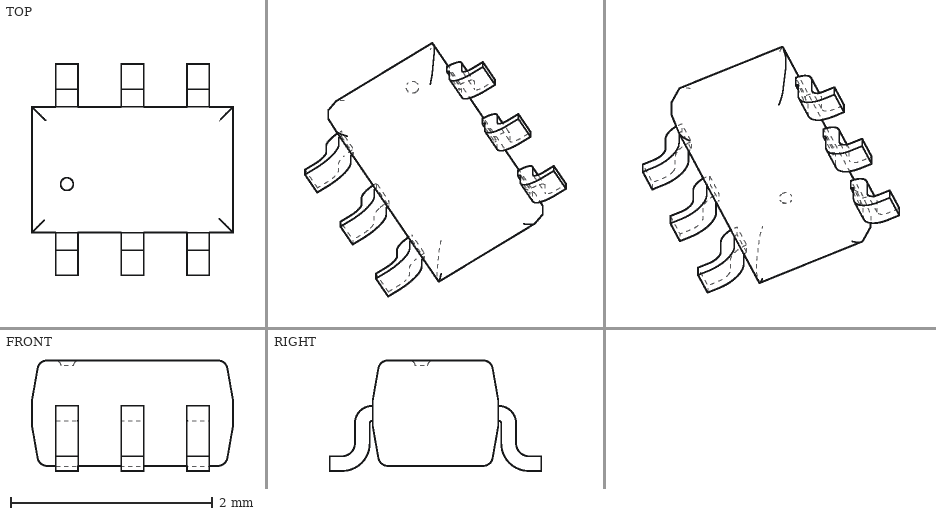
import cadquery as cq
import math

body_length = 2.0
body_width = 1.25
body_bottom = 0.05
body_height = 1.05
band_height = 0.25
draft_angle = 10.0
edge_radius = 0.099

lead_span = 2.1
lead_pitch = 0.65
leads_per_side = 3
lead_width = 0.225
lead_thickness = 0.15
lead_top = 0.649
neck_length = 0.002
shoulder_inner_radius = 0.025
heel_inner_radius = 0.125

dimple_radius = 0.063
dimple_depth = 0.05
dimple_x = -lead_pitch
dimple_y = -0.143

body_top = body_bottom + body_height
taper_height = (body_height - band_height) / 2
band_bottom = body_bottom + taper_height
band_top = band_bottom + band_height


def make_housing():
    """Straight middle band with drafted halves above and below, rounded at both ends."""
    band = cq.Workplane("XY", origin=(0, 0, band_bottom)).rect(body_length, body_width).extrude(band_height)
    upper = (
        cq.Workplane("XY", origin=(0, 0, band_top))
        .rect(body_length, body_width)
        .extrude(taper_height, taper=draft_angle)
    )
    lower = upper.mirror("XY", basePointVector=(0, 0, (body_bottom + body_top) / 2))
    housing = band.union(upper).union(lower)
    housing = housing.faces("<Z or >Z").edges().fillet(edge_radius)
    return housing.cut(make_dimple_cutter()).solids()


def make_dimple_cutter():
    """Round recess whose lip flares out to the top face over its full depth."""
    mouth_radius = dimple_radius + dimple_depth
    arc_offset = dimple_depth * math.sqrt(0.5)
    profile = (
        cq.Workplane("XZ", origin=(dimple_x, dimple_y, body_top))
        .moveTo(0, 0)
        .lineTo(0, -dimple_depth)
        .lineTo(dimple_radius, -dimple_depth)
        .threePointArc((mouth_radius - arc_offset, arc_offset - dimple_depth), (mouth_radius, 0))
        .close()
    )
    return profile.revolve(360, (0, 0, 0), (0, 1, 0))


def make_lead(x_center):
    """Lead on the +Y side: leaves the housing wall on a short neck, bends down, then out into a flat foot."""
    shoulder_outer_radius = shoulder_inner_radius + lead_thickness
    heel_outer_radius = heel_inner_radius + lead_thickness
    wall_y = body_width / 2
    tip_y = lead_span / 2
    neck_y = wall_y + neck_length
    leg_inner_y = neck_y + shoulder_inner_radius
    leg_outer_y = leg_inner_y + lead_thickness
    heel_y = leg_outer_y + heel_inner_radius
    shoulder_z = lead_top - shoulder_outer_radius
    heel_z = heel_outer_radius

    return (
        cq.Workplane("YZ", origin=(x_center - lead_width / 2, 0, 0))
        .moveTo(wall_y, lead_top)
        .lineTo(neck_y, lead_top)
        .radiusArc((leg_outer_y, shoulder_z), shoulder_outer_radius)
        .lineTo(leg_outer_y, heel_z)
        .radiusArc((heel_y, lead_thickness), -heel_inner_radius)
        .lineTo(tip_y, lead_thickness)
        .lineTo(tip_y, 0)
        .lineTo(heel_y, 0)
        .radiusArc((leg_inner_y, heel_z), heel_outer_radius)
        .lineTo(leg_inner_y, shoulder_z)
        .radiusArc((neck_y, lead_top - lead_thickness), -shoulder_inner_radius)
        .lineTo(wall_y, lead_top - lead_thickness)
        .close()
        .extrude(lead_width)
    )


housing = make_housing()

leads = []
for index in range(leads_per_side):
    lead_x = (index - (leads_per_side - 1) / 2) * lead_pitch
    lead = make_lead(lead_x)
    leads.append(lead.val())
    leads.append(lead.mirror("XZ").val())

result = cq.Compound.makeCompound([housing.val(), *leads])